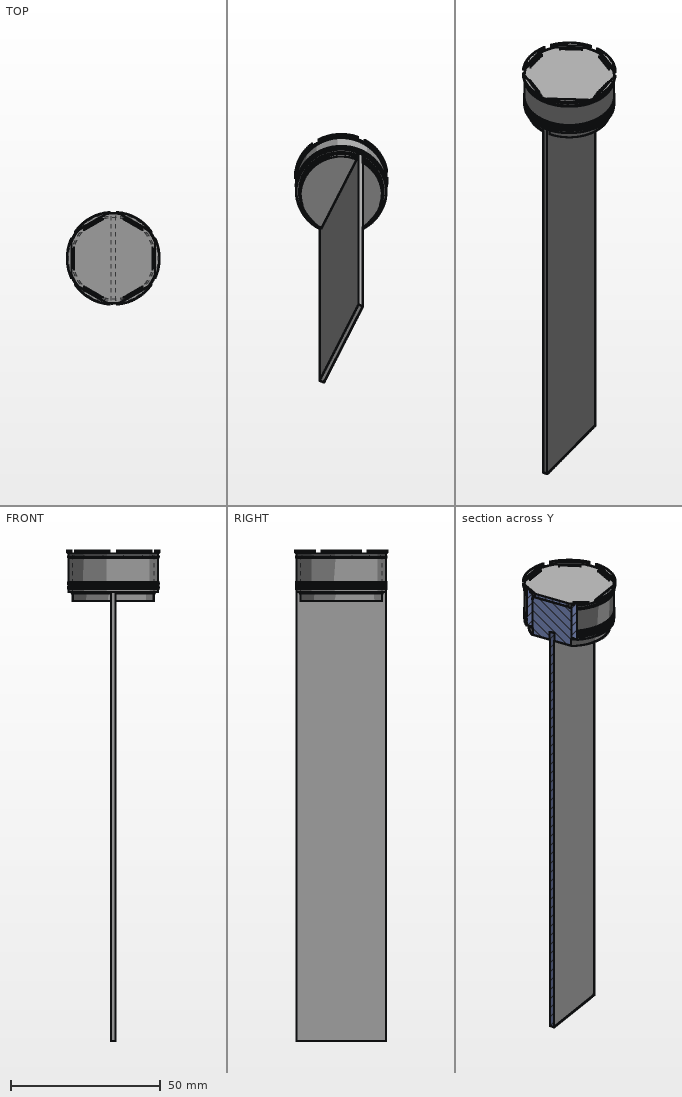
import cadquery as cq
import math

TOP_Z = 0.0
CAP_HEIGHT = 14.0
BODY_RADIUS = 15.0
BORE_RADIUS = 13.6

FLANGE_RADIUS = 15.5
FLANGE_RIM_HEIGHT = 0.5
FLANGE_HEIGHT = 1.0

BARB_START = 2.0
BARB_HEIGHT = 0.5
BARB_PROJECTION = 0.2

RIDGE_COUNT = 2
FIRST_RIDGE_START = 10.5
RIDGE_HEIGHT = 1.0
RIDGE_PITCH = 1.5
RIDGE_PROJECTION = BARB_PROJECTION

RECESS_FLATS = 28.0
RECESS_DEPTH = 1.0
LID_FLATS = 26.2
LID_THICKNESS = 1.5

PLUG_PROJECTION = 3.0
PLUG_TAPER_HEIGHT = 0.5
PLUG_TAPER_WIDTH = 0.5

PLATE_THICKNESS = 1.6
PLATE_WIDTH = 2 * BODY_RADIUS
PLATE_LENGTH = 150.0

cap_bottom = TOP_Z - CAP_HEIGHT
recess_floor = TOP_Z - RECESS_DEPTH
lid_bottom = recess_floor - LID_THICKNESS
plug_bottom = cap_bottom - PLUG_PROJECTION


def cylinder(radius, bottom, top):
    return cq.Workplane("XY", origin=(0, 0, bottom)).circle(radius).extrude(top - bottom)


def hexagon(flats, bottom, top):
    """Hexagonal prism with flats facing +X and -X."""
    diameter = flats / math.cos(math.pi / 6)
    prism = cq.Workplane("XY").polygon(6, diameter).extrude(top - bottom)
    return prism.rotate((0, 0, 0), (0, 0, 1), 30).translate((0, 0, bottom))


def turned(profile):
    """Solid of revolution about Z from (radius, z) points."""
    return cq.Workplane("XZ").polyline(profile).close().revolve(360, (0, 0, 0), (0, 1, 0))


def ridge_points(start):
    return [
        (BODY_RADIUS, TOP_Z - start),
        (BODY_RADIUS + RIDGE_PROJECTION, TOP_Z - start - RIDGE_HEIGHT / 2),
        (BODY_RADIUS, TOP_Z - start - RIDGE_HEIGHT),
    ]


def make_cap():
    profile = [
        (0, TOP_Z),
        (FLANGE_RADIUS, TOP_Z),
        (FLANGE_RADIUS, TOP_Z - FLANGE_RIM_HEIGHT),
        (BODY_RADIUS, TOP_Z - FLANGE_HEIGHT),
        (BODY_RADIUS, TOP_Z - BARB_START),
        (BODY_RADIUS + BARB_PROJECTION, TOP_Z - BARB_START),
        (BODY_RADIUS, TOP_Z - BARB_START - BARB_HEIGHT),
    ]
    for index in range(RIDGE_COUNT):
        profile += ridge_points(FIRST_RIDGE_START + index * RIDGE_PITCH)
    profile += [(BODY_RADIUS, cap_bottom), (0, cap_bottom)]
    cap = turned(profile)
    cap = cap.cut(hexagon(RECESS_FLATS, recess_floor, TOP_Z))
    cap = cap.cut(cylinder(BORE_RADIUS, cap_bottom, lid_bottom))
    openings = cylinder(BORE_RADIUS, lid_bottom, recess_floor)
    return cap.cut(openings.cut(hexagon(LID_FLATS, lid_bottom, recess_floor)))


def make_plate():
    plate = cq.Workplane("XY").box(PLATE_THICKNESS, PLATE_WIDTH, PLATE_LENGTH)
    return plate.translate((0, 0, cap_bottom - PLATE_LENGTH / 2))


def make_plug(plate):
    profile = [
        (0, lid_bottom),
        (BORE_RADIUS, lid_bottom),
        (BORE_RADIUS, cap_bottom),
        (BORE_RADIUS + PLUG_TAPER_WIDTH, cap_bottom),
        (BORE_RADIUS, cap_bottom - PLUG_TAPER_HEIGHT),
        (BORE_RADIUS, plug_bottom),
        (0, plug_bottom),
    ]
    return turned(profile).cut(plate)


cap = make_cap()
plate = make_plate()
plug = make_plug(plate)
result = cq.Compound.makeCompound([cap.val(), plug.val(), plate.val()])